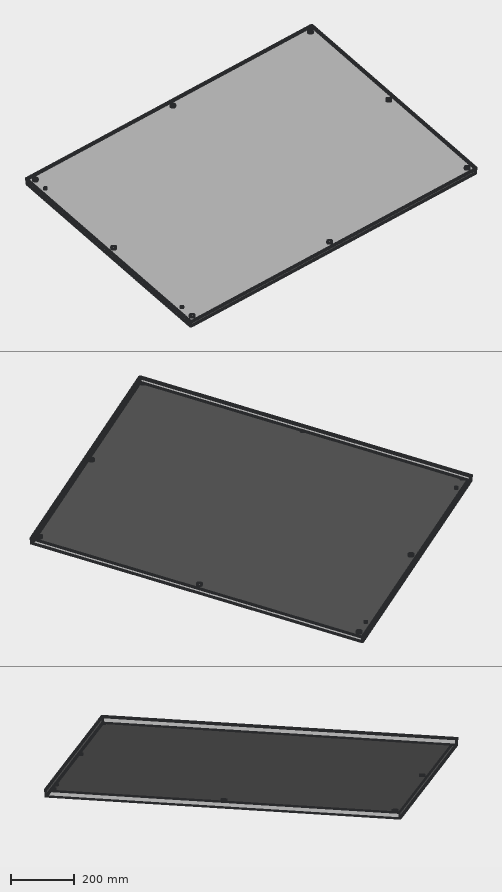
import cadquery as cq

width = 838.0
length = 1143.0
height = 22.0

sheet = 3.0
wall_setback = 1.0

mount_diameter = 15.0
mount_inset_x = 21.0
mount_inset_y = 22.0
pilot_diameter = 7.9
pilot_inset = 72.0

wall_height = height - sheet
rim_width = width - 2 * wall_setback
rim_length = length - 2 * wall_setback
mount_x = width / 2 - mount_inset_x
mount_y = length / 2 - mount_inset_y
pilot_x = width / 2 - pilot_inset


def top_sheet():
    """Flat cover that slightly overhangs the rim on every side."""
    return cq.Workplane("XY").workplane(offset=wall_height).rect(width, length).extrude(sheet)


def rim():
    """Closed ring of sheet-thick walls, open at the bottom."""
    return (
        cq.Workplane("XY")
        .rect(rim_width, rim_length)
        .rect(rim_width - 2 * sheet, rim_length - 2 * sheet)
        .extrude(wall_height)
    )


def drill(points, diameter):
    """Cutters for round holes through the top sheet."""
    return cq.Workplane("XY").pushPoints(points).circle(diameter / 2).extrude(height)


mount_points = [
    (x, y)
    for x in (-mount_x, 0, mount_x)
    for y in (-mount_y, 0, mount_y)
    if (x, y) != (0, 0)
]
pilot_points = [(side * pilot_x, -mount_y) for side in (-1, 1)]

result = top_sheet().union(rim())
result = result.cut(drill(mount_points, mount_diameter))
result = result.cut(drill(pilot_points, pilot_diameter))